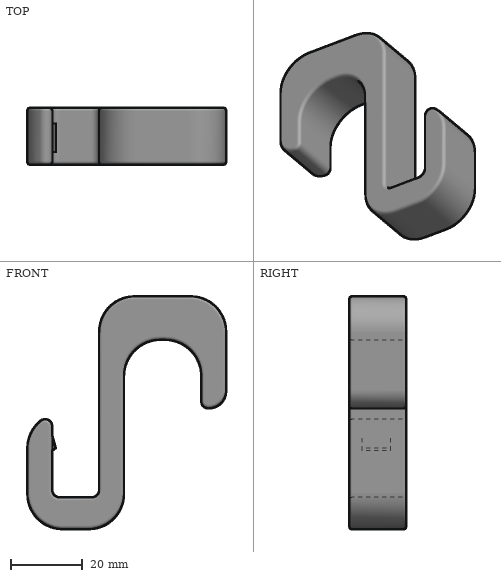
import cadquery as cq
import math

width = 55.5
depth = 16.0
height = 65.0

arm = 7.0
floor = 9.0
edge_round = 1.0
outer_radius = 10.0
inner_radius = 2.0

lower_gap = 13.0
tip_arc_z = 22.5

arch_top = 52.8
tip_bottom = 33.7
tip_outer_radius = arm - inner_radius

barb_reach = 1.0
barb_top = 26.25
barb_peak = 22.6
barb_bottom = 22.0
barb_length = 8.0
barb_center_y = -0.45

stem_left = arm + lower_gap
stem_right = stem_left + arm
upper_arm_left = width - arm

round_x = arm - inner_radius
center_distance = outer_radius - inner_radius
round_rise = math.sqrt(center_distance**2 - (outer_radius - round_x) ** 2)
round_z = tip_arc_z + round_rise
reach_ratio = outer_radius / center_distance
tip_joint = (
    outer_radius - (outer_radius - round_x) * reach_ratio,
    tip_arc_z + round_rise * reach_ratio,
)


def hook_outline():
    """Closed S-shaped outline in the XZ plane; every arc is tangent to the piece before it."""
    return (
        cq.Workplane("XZ", origin=(0, depth / 2, 0))
        .moveTo(0, outer_radius)
        .lineTo(0, tip_arc_z)
        .tangentArcPoint(tip_joint, relative=False)
        .tangentArcPoint((arm, round_z), relative=False)
        .lineTo(arm, floor + inner_radius)
        .tangentArcPoint((arm + inner_radius, floor), relative=False)
        .lineTo(stem_left - inner_radius, floor)
        .tangentArcPoint((stem_left, floor + inner_radius), relative=False)
        .lineTo(stem_left, height - outer_radius)
        .tangentArcPoint((stem_left + outer_radius, height), relative=False)
        .lineTo(width - outer_radius, height)
        .tangentArcPoint((width, height - outer_radius), relative=False)
        .lineTo(width, tip_bottom + tip_outer_radius)
        .tangentArcPoint((width - tip_outer_radius, tip_bottom), relative=False)
        .tangentArcPoint((upper_arm_left, tip_bottom + inner_radius), relative=False)
        .lineTo(upper_arm_left, arch_top - outer_radius)
        .tangentArcPoint((upper_arm_left - outer_radius, arch_top), relative=False)
        .lineTo(stem_right + outer_radius, arch_top)
        .tangentArcPoint((stem_right, arch_top - outer_radius), relative=False)
        .lineTo(stem_right, outer_radius)
        .tangentArcPoint((stem_right - outer_radius, 0), relative=False)
        .lineTo(outer_radius, 0)
        .tangentArcPoint((0, outer_radius), relative=False)
        .close()
    )


def hook_body():
    """Hook of full depth with both flat faces rounded along the whole outline."""
    return hook_outline().extrude(depth).faces("<Y or >Y").edges().fillet(edge_round)


def barb():
    """Small wedge that slopes out from the lower arm and hooks back underneath."""
    root = arm / 2
    return (
        cq.Workplane("XZ", origin=(0, barb_center_y + barb_length / 2, 0))
        .moveTo(root, barb_top)
        .lineTo(arm, barb_top)
        .lineTo(arm + barb_reach, barb_peak)
        .lineTo(arm, barb_bottom)
        .lineTo(root, barb_bottom)
        .close()
        .extrude(barb_length)
    )


result = hook_body().union(barb())